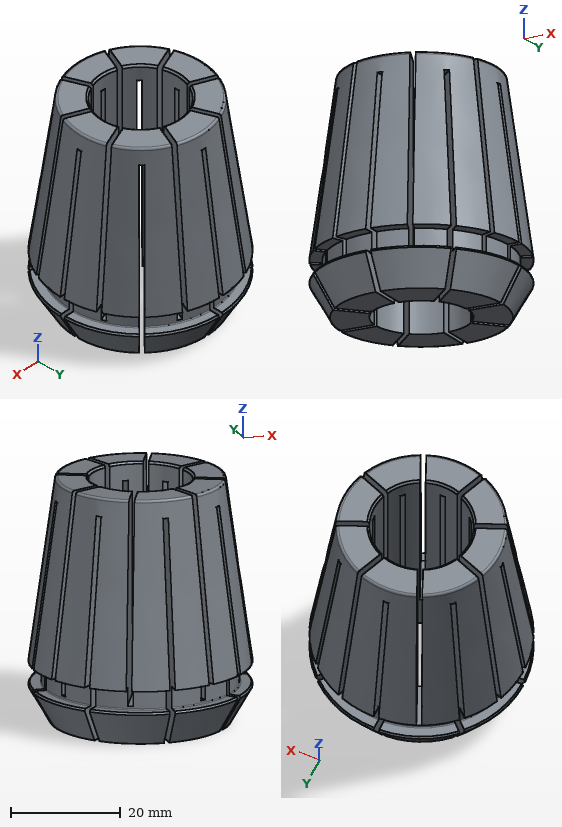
import cadquery as cq
import math

length = 46.0
max_diameter = 41.0
bore_radius = 9.5

taper_angle = 8.0
taper_base_z = 11.05
nose_fillet = 0.5
bore_chamfer = 0.4

groove_radius = 18.12
head_top_z = 7.0
groove_root_fillet = 0.2
head_max_z = 6.6
head_angle = 30.0
head_bevel = 0.28

slot_width = 1.0
slots_per_end = 8
head_slot_top_z = 42.5
nose_slot_floor_z = 7.6

max_radius = max_diameter / 2
nose_radius = max_radius - (length - taper_base_z) * math.tan(math.radians(taper_angle))
head_end_radius = max_radius - head_max_z * math.tan(math.radians(head_angle))


def collet_body():
    """Revolve the solid collet outline and open the bore."""
    profile = (
        cq.Workplane("XZ")
        .lineTo(head_end_radius, 0)
        .lineTo(max_radius, head_max_z)
        .lineTo(max_radius - head_bevel, head_top_z)
        .lineTo(groove_radius + groove_root_fillet, head_top_z)
        .tangentArcPoint((-groove_root_fillet, groove_root_fillet))
        .lineTo(groove_radius, taper_base_z)
        .lineTo(max_radius, taper_base_z)
        .lineTo(nose_radius, length)
        .lineTo(0, length)
        .close()
    )
    body = profile.revolve(360, (0, 0), (0, 1))
    body = body.faces(">Z").edges().fillet(nose_fillet)
    body = body.faces(">Z").workplane().circle(bore_radius).cutThruAll()
    bore_mouth = body.faces(">Z").edges(cq.selectors.RadiusNthSelector(0))
    return bore_mouth.chamfer(bore_chamfer)


def radial_slots(bottom_z, top_z, start_angle):
    """One ring of evenly spaced slot cutters, each reaching right across the axis."""
    slot = (
        cq.Workplane("XY")
        .workplane(offset=bottom_z)
        .rect(2 * length, slot_width)
        .extrude(top_z - bottom_z)
    )
    ring = cq.Workplane("XY")
    step = 360.0 / slots_per_end
    for index in range(slots_per_end // 2):
        ring = ring.add(slot.rotate((0, 0, 0), (0, 0, 1), start_angle + index * step))
    return ring.combine()


head_slots = radial_slots(0, head_slot_top_z, 0)
nose_slots = radial_slots(nose_slot_floor_z, length, 180.0 / slots_per_end)

result = collet_body().cut(head_slots).cut(nose_slots)